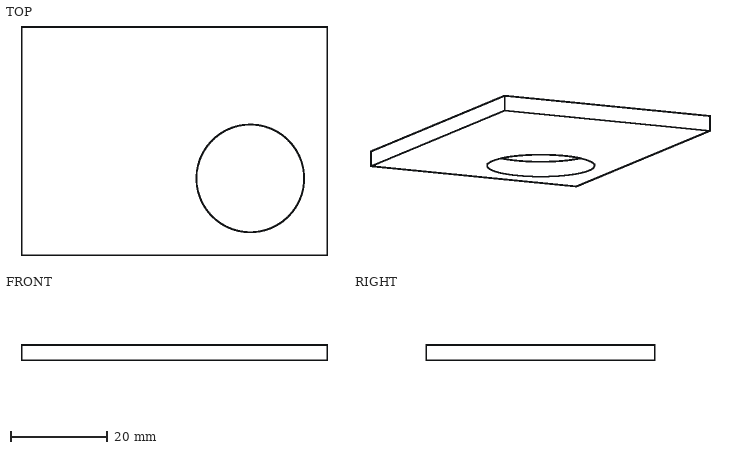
import cadquery as cq

length = 63.5
width = 47.5
thickness = 3.2

hole_diameter = 22.35
hole_edge_distance = 16.0

hole_x = length / 2 - hole_edge_distance
hole_y = -width / 2 + hole_edge_distance

plate = cq.Workplane("XY").box(length, width, thickness)

result = (
    plate.faces(">Z").workplane(origin=(0, 0, 0))
    .center(hole_x, hole_y)
    .hole(hole_diameter)
)